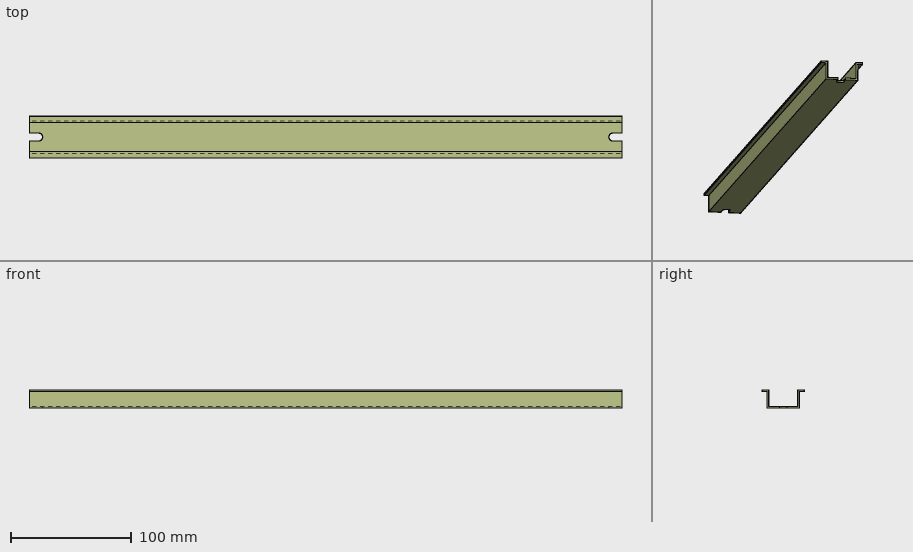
import cadquery as cq

length = 491.0
overall_width = 35.0
height = 15.0

thickness = 1.5
channel_width = 27.0

slot_width = 6.5
slot_depth = 11.0


def hat_rail():
    """Top-hat section along X, with its floor on Z = 0."""
    channel = cq.Workplane("XY").box(length, channel_width, height, centered=(True, True, False))
    lips = (
        cq.Workplane("XY")
        .workplane(offset=height - thickness)
        .box(length, overall_width, thickness, centered=(True, True, False))
    )
    cavity = (
        cq.Workplane("XY")
        .workplane(offset=thickness)
        .box(length, channel_width - 2 * thickness, height, centered=(True, True, False))
    )
    return channel.union(lips).cut(cavity)


def end_slots():
    """Round-nosed cutters, centred on each end so that half lies inside the rail."""
    return (
        cq.Workplane("XY")
        .pushPoints([(-length / 2, 0), (length / 2, 0)])
        .slot2D(2 * slot_depth, slot_width)
        .extrude(thickness)
    )


result = hat_rail().cut(end_slots())